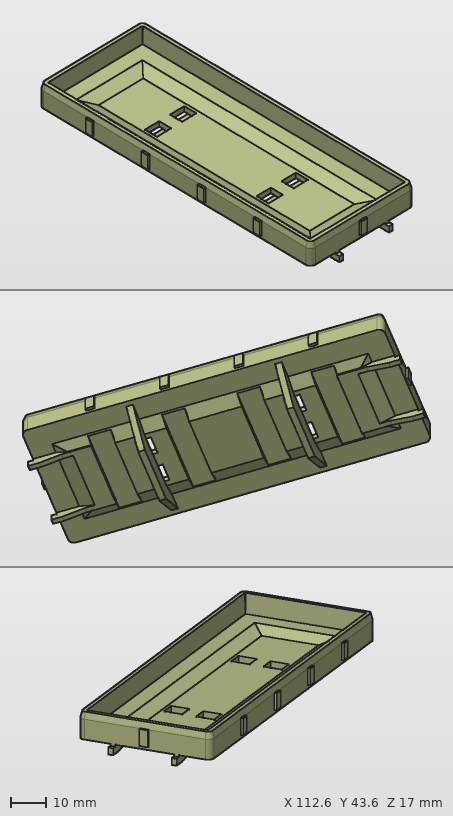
import cadquery as cq
import math

overall_length = 112.6
overall_width = 43.6

body_length = 109.6
body_width = 42.0
body_height = 8.3
corner_radius = 1.9
lip_height = 2.0
lip_inset = 0.6
lip_taper = math.degrees(math.atan2(lip_inset, lip_height))
wall_thickness = 2.1
wall_thinning = 0.2
floor_thickness = 2.0
shoulder_height = body_height - lip_height

recess_length = 94.6
recess_width = 26.8
recess_depth = 1.7
recess_floor_length = 85.1
recess_floor_width = 18.0
panel_margin = 0.6

gap_width = 6.9
gap_ceiling = -0.2
gap_offsets = (11.4, 33.8)

fin_offset = 22.5
fin_thickness = 2.0
fin_depth = 8.7
fin_top_width = 38.7
fin_bottom_width = 18.2
window_length = 4.8
window_width = 5.7
window_offset_y = 5.1

tab_width = 2.6
tab_bottom = 1.1
side_tab_reach = overall_width / 2
end_tab_reach = 55.5
side_tab_offsets = (11.3, 33.8)

arm_reach = overall_length / 2
arm_width = 1.6
arm_offset_y = 10.0
arm_inner_end = 37.2
arm_taper_inner = 46.2
arm_taper_outer = 52.9
arm_tip_top = -0.6
arm_tip_bottom = -2.7


def block(length, width, bottom, top, x=0, y=0):
    """Upright box centred on (x, y) between two heights."""
    box = cq.Workplane("XY").box(length, width, top - bottom, centered=(True, True, False))
    return box.translate((x, y, bottom))


def make_shell():
    """Rounded tray body with a tapered lip, hollowed down to its floor."""
    lower = block(body_length, body_width, 0, shoulder_height).edges("|Z").fillet(corner_radius)
    lip = (
        lower.faces(">Z").wires().toPending()
        .workplane()
        .extrude(lip_height, combine=False, taper=lip_taper)
    )
    cavity_depth = body_height - floor_thickness
    draft = math.degrees(math.atan2(wall_thinning, cavity_depth))
    cavity = (
        cq.Workplane("XY", origin=(0, 0, floor_thickness))
        .rect(body_length - 2 * wall_thickness, body_width - 2 * wall_thickness)
        .extrude(cavity_depth, taper=-draft)
    )
    return lower.union(lip).cut(cavity)


def make_sloped_panel(top, margin=0):
    """Rectangular frustum narrowing downwards from the given height."""
    return (
        cq.Workplane("XY", origin=(0, 0, top))
        .rect(recess_length + 2 * margin, recess_width + 2 * margin)
        .workplane(offset=-recess_depth)
        .rect(recess_floor_length + 2 * margin, recess_floor_width + 2 * margin)
        .loft(ruled=True)
    )


def make_pads():
    """Raised panel under the floor, split by gaps across its width."""
    pads = make_sloped_panel(0, panel_margin)
    for offset in gap_offsets:
        for x in (-offset, offset):
            pads = pads.cut(block(gap_width, body_width, -recess_depth, gap_ceiling, x))
    return pads


def make_fin(x):
    """Trapezoidal fin hanging below the floor."""
    return (
        cq.Workplane("YZ", origin=(x - fin_thickness / 2, 0, 0))
        .polyline([
            (-fin_top_width / 2, 0),
            (fin_top_width / 2, 0),
            (fin_bottom_width / 2, -fin_depth),
            (-fin_bottom_width / 2, -fin_depth),
        ])
        .close()
        .extrude(fin_thickness)
    )


def make_arm(side, y):
    """Arm along X with a hooked tip beyond the end wall; side is -1 or 1."""
    profile = [
        (arm_inner_end, 0),
        (body_length / 2, 0),
        (body_length / 2, arm_tip_top),
        (arm_reach, arm_tip_top),
        (arm_reach, arm_tip_bottom),
        (arm_taper_outer, arm_tip_bottom),
        (arm_taper_inner, -recess_depth),
        (arm_inner_end, -recess_depth),
    ]
    return (
        cq.Workplane("XZ", origin=(0, y + arm_width / 2, 0))
        .polyline([(side * x, z) for x, z in profile])
        .close()
        .extrude(arm_width)
    )


def make_tabs():
    """Small ribs on the long walls and at the middle of the end walls."""
    root = wall_thickness / 2
    side_depth = side_tab_reach - body_width / 2 + root
    end_depth = end_tab_reach - body_length / 2 + root
    tabs = cq.Workplane("XY")
    for side in (-1, 1):
        x = side * (end_tab_reach - end_depth / 2)
        tabs = tabs.add(block(end_depth, tab_width, tab_bottom, shoulder_height, x))
        y = side * (side_tab_reach - side_depth / 2)
        for offset in side_tab_offsets:
            for x in (-offset, offset):
                tabs = tabs.add(block(tab_width, side_depth, tab_bottom, shoulder_height, x, y))
    return tabs.combine()


def make_windows(x):
    """Pair of openings through the floor and pads, down to the fin at the given x."""
    windows = cq.Workplane("XY")
    for y in (-window_offset_y, window_offset_y):
        windows = windows.add(
            block(window_length, window_width, -recess_depth, floor_thickness, x, y)
        )
    return windows.combine()


result = make_shell().cut(make_sloped_panel(floor_thickness)).union(make_pads())
for x in (-fin_offset, fin_offset):
    result = result.union(make_fin(x)).cut(make_windows(x))
for side in (-1, 1):
    for y in (-arm_offset_y, arm_offset_y):
        result = result.union(make_arm(side, y))
result = result.union(make_tabs())